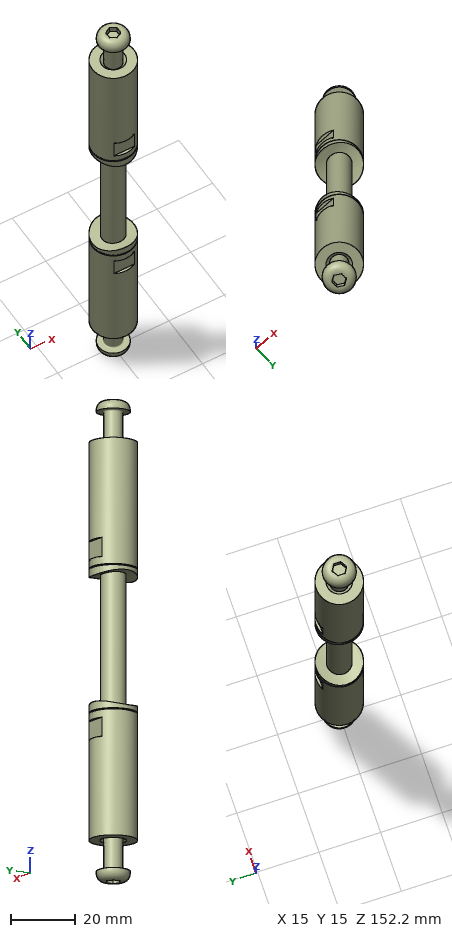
import cadquery as cq
import math

total_length = 152.2
saddle_tip_gap = 40.0

body_diameter = 15.0
sleeve_length = 40.0
countersink_diameter = 8.2
flat_width_across = 13.0
flat_height = 6.0
flat_offset = 2.5
cap_length = 3.0
saddle_radius = 21.2
neck_diameter = 14.0
neck_length = 0.3

rod_diameter = 8.0
rod_length = 80.0

screw_diameter = 6.0
screw_length = 25.0
head_diameter = 10.5
head_height = 3.3
head_rim_height = 0.7
head_round_radius = head_height - head_rim_height
head_fillet = 0.4
socket_across_flats = 4.0
socket_depth = 2.0

tip_z = saddle_tip_gap / 2
joint_z = tip_z + cap_length
sleeve_end_z = joint_z + sleeve_length
head_top_z = total_length / 2
head_seat_z = head_top_z - head_height
screw_tip_z = head_seat_z - screw_length
rod_end_z = rod_length / 2


def cylinder(diameter, bottom_z, top_z):
    return cq.Workplane("XY").workplane(offset=bottom_z).circle(diameter / 2).extrude(top_z - bottom_z)


def make_sleeve():
    """Upper sleeve: holes for rod and screw, wrench flats facing -Y and +Y."""
    sleeve = cylinder(body_diameter, joint_z, sleeve_end_z)
    sleeve = sleeve.cut(cylinder(rod_diameter, joint_z, rod_end_z))
    sleeve = sleeve.cut(cylinder(screw_diameter, screw_tip_z, sleeve_end_z))
    countersink_depth = (countersink_diameter - screw_diameter) / 2
    countersink = (
        cq.Workplane("XY")
        .workplane(offset=sleeve_end_z)
        .circle(countersink_diameter / 2)
        .extrude(-countersink_depth, taper=45)
    )
    sleeve = sleeve.cut(countersink)
    flat_depth = (body_diameter - flat_width_across) / 2
    flat_z = joint_z + flat_offset + flat_height / 2
    for side in (-1, 1):
        flat_y = side * (flat_width_across + flat_depth) / 2
        notch = cq.Workplane("XY").box(body_diameter, flat_depth, flat_height)
        sleeve = sleeve.cut(notch.translate((0, flat_y, flat_z)))
    return sleeve


def make_saddle_cap():
    """Upper cap: its lower face is hollowed by a cylinder along X."""
    cap = cylinder(body_diameter, tip_z, joint_z - neck_length)
    cap = cap.union(cylinder(neck_diameter, joint_z - neck_length, joint_z))
    body_radius = body_diameter / 2
    saddle_axis_z = tip_z - math.sqrt(saddle_radius**2 - body_radius**2)
    saddle = (
        cq.Workplane("YZ")
        .center(0, saddle_axis_z)
        .circle(saddle_radius)
        .extrude(body_radius, both=True)
    )
    return cap.cut(saddle).cut(cylinder(rod_diameter, tip_z, joint_z))


def make_screw():
    """Upper screw: revolved button head and shank with a hexagon socket."""
    shank_radius = screw_diameter / 2
    head_radius = head_diameter / 2
    round_centre_r = head_radius - head_round_radius
    rim_z = head_seat_z + head_rim_height
    diagonal = math.sqrt(0.5)
    screw = (
        cq.Workplane("XZ")
        .moveTo(0, screw_tip_z)
        .lineTo(shank_radius, screw_tip_z)
        .lineTo(shank_radius, head_seat_z - head_fillet)
        .radiusArc((shank_radius + head_fillet, head_seat_z), head_fillet)
        .lineTo(head_radius, head_seat_z)
        .lineTo(head_radius, rim_z)
        .threePointArc(
            (round_centre_r + head_round_radius * diagonal, rim_z + head_round_radius * diagonal),
            (round_centre_r, head_top_z),
        )
        .lineTo(0, head_top_z)
        .close()
        .revolve(360, (0, 0), (0, 1))
    )
    across_corners = socket_across_flats / math.cos(math.pi / 6)
    socket = (
        cq.Workplane("XY")
        .workplane(offset=head_top_z)
        .transformed(rotate=(0, 0, 90))
        .polygon(6, across_corners)
        .extrude(-socket_depth)
    )
    return screw.cut(socket)


rod = cylinder(rod_diameter, -rod_end_z, rod_end_z)
solids = [rod.val()]
for part in (make_sleeve(), make_saddle_cap(), make_screw()):
    for turn in (0, 180):
        solids.append(part.rotate((0, 0, 0), (1, 0, 0), turn).val())

result = cq.Compound.makeCompound(solids)